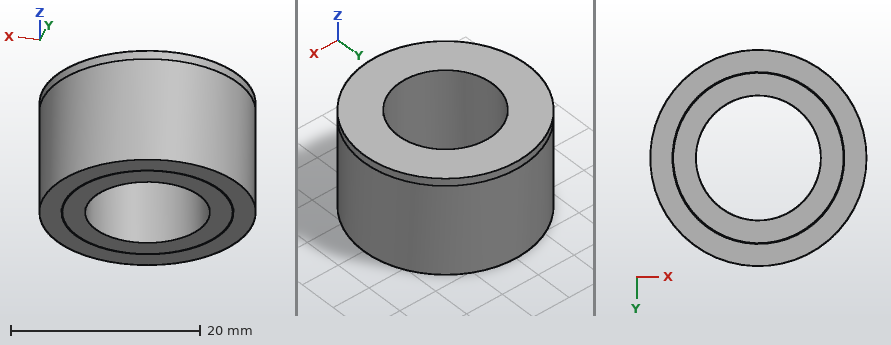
import cadquery as cq

outer_diameter = 22.9
total_height = 13.2
bore_diameter = 13.2

flange_thickness = 1.0
sleeve_diameter = 18.0

ring_bore_diameter = 18.2
ring_height = total_height - flange_thickness


def make_bushing():
    """Sleeve with a flange at its top and a plain bore right through."""
    sleeve = cq.Workplane("XY").circle(sleeve_diameter / 2).extrude(total_height)
    flange = (
        cq.Workplane("XY")
        .workplane(offset=ring_height)
        .circle(outer_diameter / 2)
        .extrude(flange_thickness)
    )
    bore = cq.Workplane("XY").circle(bore_diameter / 2).extrude(total_height)
    return sleeve.union(flange).cut(bore)


def make_outer_ring():
    """Plain ring around the sleeve, flush with the flange's rim."""
    return (
        cq.Workplane("XY")
        .circle(outer_diameter / 2)
        .circle(ring_bore_diameter / 2)
        .extrude(ring_height)
    )


bushing = make_bushing()
outer_ring = make_outer_ring()

result = cq.Compound.makeCompound([bushing.val(), outer_ring.val()])